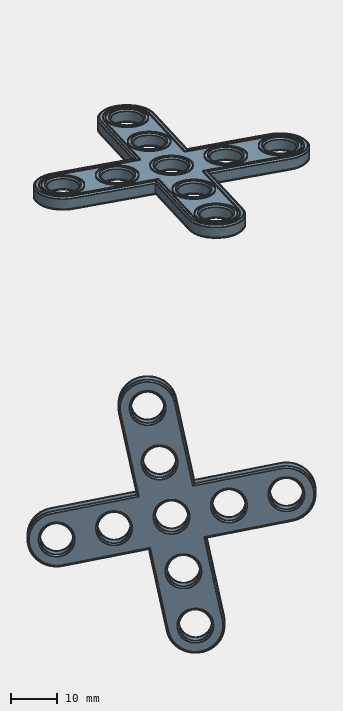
import cadquery as cq

span = 62.5
arm_width = 12.5
thickness = 3.1
edge_chamfer = 0.4

hole_diameter = 7.0
hole_pitch = arm_width
holes_per_arm = 5

rim_inset = 1.1
ring_diameter = 9.2
recess_depth = 0.2

row_offsets = [(i - (holes_per_arm - 1) / 2) * hole_pitch for i in range(holes_per_arm)]
hole_centres = [(offset, 0) for offset in row_offsets]
hole_centres += [(0, offset) for offset in row_offsets if offset != 0]


def cross(inset, height):
    """Plus-shaped prism with round arm tips, shrunk inward by the inset, standing on Z = 0."""
    length = span - 2 * inset
    width = arm_width - 2 * inset
    arm_x = cq.Workplane("XY").slot2D(length, width).extrude(height)
    arm_y = cq.Workplane("XY").slot2D(length, width, 90).extrude(height)
    return arm_x.union(arm_y)


def cylinders(diameter, height):
    """One cylinder on each hole centre, standing on Z = 0."""
    return cq.Workplane("XY").pushPoints(hole_centres).circle(diameter / 2).extrude(height)


plate = cross(0, thickness).cut(cylinders(hole_diameter, thickness))
plate = plate.faces("<Z or >Z").edges().chamfer(edge_chamfer)

recess = cross(rim_inset, recess_depth).cut(cylinders(ring_diameter, recess_depth))
result = plate.cut(recess.translate((0, 0, thickness - recess_depth)))